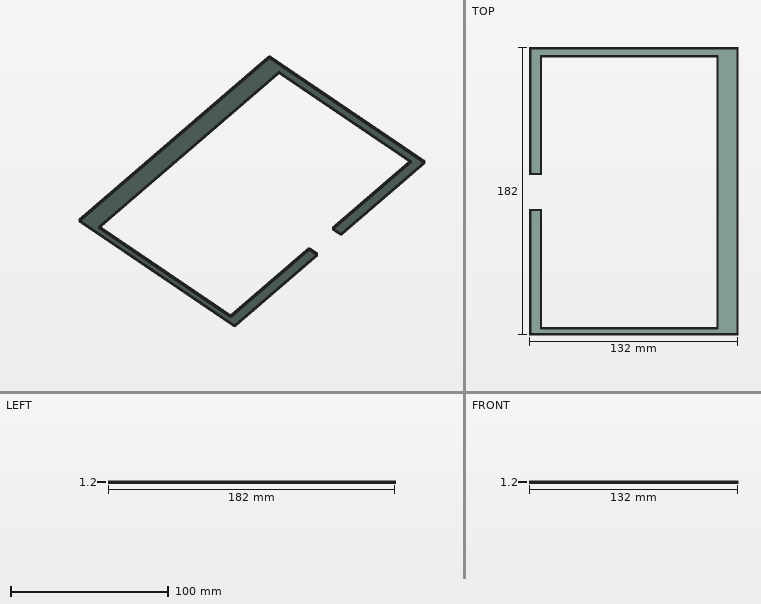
import cadquery as cq

width = 132.0
length = 182.0
thickness = 1.2

left_bar = 7.0
right_bar = 13.0
back_bar = 5.3
front_bar = 4.0

back_arm_length = 80.0
gap_length = 22.8

left = -width / 2
right = width / 2
front = -length / 2
back = length / 2
window_left = left + left_bar
window_right = right - right_bar
window_front = front + front_bar
window_back = back - back_bar
gap_back = back - back_arm_length
gap_front = gap_back - gap_length

outline = [
    (left, gap_back),
    (left, back),
    (right, back),
    (right, front),
    (left, front),
    (left, gap_front),
    (window_left, gap_front),
    (window_left, window_front),
    (window_right, window_front),
    (window_right, window_back),
    (window_left, window_back),
    (window_left, gap_back),
]

result = cq.Workplane("XY").polyline(outline).close().extrude(thickness)